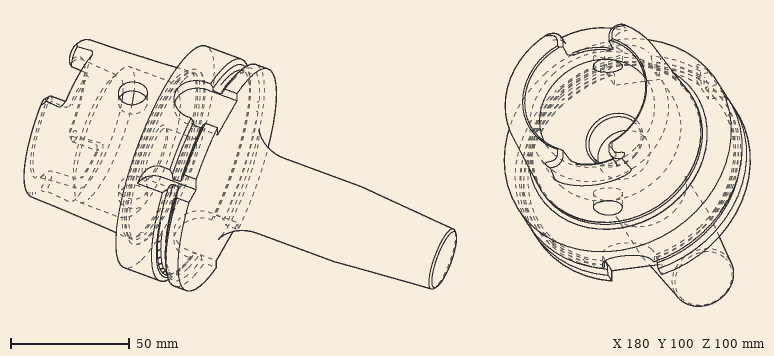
import cadquery as cq
import math


total_length = 180.0
shank_length = 50.0
front_x = -shank_length
nose_x = total_length - shank_length

taper_front_radius = 35.5
taper_rear_radius = 37.6
rim_round = 1.8
relief_width = 1.8
relief_depth = 0.5
relief_to_face = 0.9
face_recess_round = 0.9

bore_front_radius = 26.6
bore_rear_radius = 25.4
bore_length = 18.9
bore_edge_chamfer = 0.7
clamping_shoulder_angle = 30.0
cavity_radius = 30.6
cavity_depth = 45.0
cavity_floor_round = 5.2
coolant_radius = 11.5
coolant_chamfer = 1.0
coolant_depth = 14.4
cross_hole_radius = 6.1
cross_hole_x = -15.0

drive_slot_half_width = 10.0
drive_shoulder_height = 31.9
drive_flare_radius = 5.0
drive_floor_fillet = 2.0
drive_rim_chamfer = 2.0
upper_drive_depth = 9.9
lower_drive_depth = 14.5

flange_radius = 50.0
flange_width = 29.0
groove_center_x = 20.0
groove_half_width = 3.33
groove_root_radius = 45.7
groove_flank_angle = 30.0
groove_flank_depth = 2.2
groove_root_half_width = groove_half_width - groove_flank_depth * math.tan(math.radians(groove_flank_angle))
groove_root_fillet = 1.0

upper_key_half_width = 9.9
lower_key_half_width = 11.0
key_start_x = 5.2
key_floor_height = 44.0
notch_offset = 31.5
notch_corner_radius = 8.0
notch_start_x = 5.0

neck_radius = 17.0
neck_fillet = 20.0
nose_radius = 13.5
nose_taper_length = 44.5
nose_chamfer = 0.9

overcut = 9.0


def revolve_about_x(outline):
    """Turn a closed XY outline a full revolution about the X axis."""
    return outline.revolve(360, (0, 0, 0), (1, 0, 0))


def turned_body():
    relief_end_x = -relief_to_face
    taper_end_x = relief_end_x - relief_width
    neck_start_x = flange_width + neck_fillet
    arc_middle = neck_fillet * (1 - math.sqrt(0.5))
    outline = (
        cq.Workplane("XY")
        .moveTo(front_x, 0)
        .lineTo(front_x, taper_front_radius)
        .lineTo(taper_end_x, taper_rear_radius)
        .lineTo(taper_end_x + relief_width / 2, taper_rear_radius - relief_depth)
        .lineTo(relief_end_x, taper_rear_radius)
        .lineTo(0, taper_rear_radius)
        .threePointArc(
            (face_recess_round, taper_rear_radius + face_recess_round),
            (0, taper_rear_radius + 2 * face_recess_round),
        )
        .lineTo(0, flange_radius)
        .lineTo(flange_width, flange_radius)
        .lineTo(flange_width, neck_radius + neck_fillet)
        .threePointArc(
            (flange_width + arc_middle, neck_radius + arc_middle),
            (neck_start_x, neck_radius),
        )
        .lineTo(nose_x - nose_taper_length, neck_radius)
        .lineTo(nose_x, nose_radius)
        .lineTo(nose_x, 0)
        .close()
    )
    body = revolve_about_x(outline)
    body = body.faces(">X").edges().chamfer(nose_chamfer)
    return body.faces("<X").edges().fillet(rim_round)


def gripper_groove():
    outline = (
        cq.Workplane("XY")
        .moveTo(groove_center_x - groove_half_width, flange_radius)
        .lineTo(groove_center_x - groove_root_half_width, flange_radius - groove_flank_depth)
        .lineTo(groove_center_x - groove_root_half_width, groove_root_radius)
        .lineTo(groove_center_x + groove_root_half_width, groove_root_radius)
        .lineTo(groove_center_x + groove_root_half_width, flange_radius - groove_flank_depth)
        .lineTo(groove_center_x + groove_half_width, flange_radius)
        .lineTo(groove_center_x + groove_half_width, flange_radius + overcut)
        .lineTo(groove_center_x - groove_half_width, flange_radius + overcut)
        .close()
    )
    root_edges = cq.selectors.RadiusNthSelector(0)
    return revolve_about_x(outline).edges(root_edges).fillet(groove_root_fillet)


def clamping_cavity():
    bore_end_x = front_x + bore_length
    shoulder_length = (cavity_radius - bore_rear_radius) * math.tan(math.radians(clamping_shoulder_angle))
    floor_x = front_x + cavity_depth
    floor_round_middle = cavity_floor_round * (1 - math.sqrt(0.5))
    outline = (
        cq.Workplane("XY")
        .moveTo(front_x, 0)
        .lineTo(front_x, bore_front_radius + bore_edge_chamfer)
        .lineTo(front_x + bore_edge_chamfer, bore_front_radius)
        .lineTo(bore_end_x, bore_rear_radius)
        .lineTo(bore_end_x + shoulder_length, cavity_radius)
        .lineTo(floor_x - cavity_floor_round, cavity_radius)
        .threePointArc(
            (floor_x - floor_round_middle, cavity_radius - floor_round_middle),
            (floor_x, cavity_radius - cavity_floor_round),
        )
        .lineTo(floor_x, coolant_radius + coolant_chamfer)
        .lineTo(floor_x + coolant_chamfer, coolant_radius)
        .lineTo(floor_x + coolant_depth, coolant_radius)
        .lineTo(floor_x + coolant_depth, 0)
        .close()
    )
    return revolve_about_x(outline)


def cross_hole():
    return (
        cq.Workplane("XY")
        .center(cross_hole_x, 0)
        .circle(cross_hole_radius)
        .extrude(flange_radius, both=True)
    )


def drive_slot_section(x, growth):
    """Slot outline at one X, grown outward, with walls flaring onto flat shoulders."""
    half_width = drive_slot_half_width + growth
    shoulder_z = drive_shoulder_height - growth
    flare_radius = drive_flare_radius - growth
    flare_start_z = shoulder_z - flare_radius
    flare_end_y = half_width + flare_radius
    flare_middle_y = flare_end_y - flare_radius * math.sqrt(0.5)
    flare_middle_z = flare_start_z + flare_radius * math.sqrt(0.5)
    outer = taper_rear_radius + overcut
    return (
        cq.Workplane("YZ", origin=(x, 0, 0))
        .moveTo(-half_width, 0)
        .lineTo(-half_width, flare_start_z)
        .threePointArc((-flare_middle_y, flare_middle_z), (-flare_end_y, shoulder_z))
        .lineTo(-outer, shoulder_z)
        .lineTo(-outer, outer)
        .lineTo(outer, outer)
        .lineTo(outer, shoulder_z)
        .lineTo(flare_end_y, shoulder_z)
        .threePointArc((flare_middle_y, flare_middle_z), (half_width, flare_start_z))
        .lineTo(half_width, 0)
        .close()
    )


def drive_slot(depth):
    """Slot across the +Z rim with a filleted floor and chamfered rim edges."""
    slot = drive_slot_section(front_x, 0).extrude(depth)
    slot = slot.faces(">X").edges().fillet(drive_floor_fillet)
    rim_section = drive_slot_section(front_x, drive_rim_chamfer).wire().val()
    full_section = drive_slot_section(front_x + drive_rim_chamfer, 0).wire().val()
    rim_chamfer = cq.Solid.makeLoft([rim_section, full_section], True)
    return slot.union(cq.Workplane(rim_chamfer)).union(floor_edge_chamfer(depth))


def floor_edge_chamfer(depth):
    """Chamfer where the slot floor meets the tapered bore."""
    floor_x = front_x + depth
    floor_bore_radius = bore_front_radius + (bore_rear_radius - bore_front_radius) * depth / bore_length
    cone = cq.Solid.makeCone(
        floor_bore_radius + bore_edge_chamfer,
        floor_bore_radius,
        bore_edge_chamfer,
        cq.Vector(floor_x, 0, 0),
        cq.Vector(1, 0, 0),
    )
    half_width = drive_slot_half_width - drive_floor_fillet
    limits = cq.Workplane("XY").rect(2 * shank_length, 2 * half_width).extrude(flange_radius)
    return limits.intersect(cq.Workplane(cone))


def key_slot(half_width):
    """Flat-floored slot in the +Z side of the flange with a round blind end."""
    arc_center_x = key_start_x + half_width
    return (
        cq.Workplane("XY", origin=(0, 0, key_floor_height))
        .moveTo(flange_width, -half_width)
        .lineTo(arc_center_x, -half_width)
        .threePointArc((key_start_x, 0), (arc_center_x, half_width))
        .lineTo(flange_width, half_width)
        .close()
        .extrude(overcut)
    )


def orientation_notch():
    """Corner notch on the -Y, +Z side of the flange with a rounded blind end."""
    length = flange_width - notch_start_x
    width = flange_radius - notch_offset
    block = cq.Workplane("XY").box(length, width, width, centered=False)
    block = block.translate((notch_start_x, -flange_radius, notch_offset))
    return block.edges("|Z and <X and >Y").fillet(notch_corner_radius)


def mirrored_below(tool):
    return tool.rotate((0, 0, 0), (1, 0, 0), 180)


result = (
    turned_body()
    .cut(gripper_groove())
    .cut(clamping_cavity())
    .cut(cross_hole())
    .cut(drive_slot(upper_drive_depth))
    .cut(mirrored_below(drive_slot(lower_drive_depth)))
    .cut(key_slot(upper_key_half_width))
    .cut(mirrored_below(key_slot(lower_key_half_width)))
    .cut(orientation_notch())
)